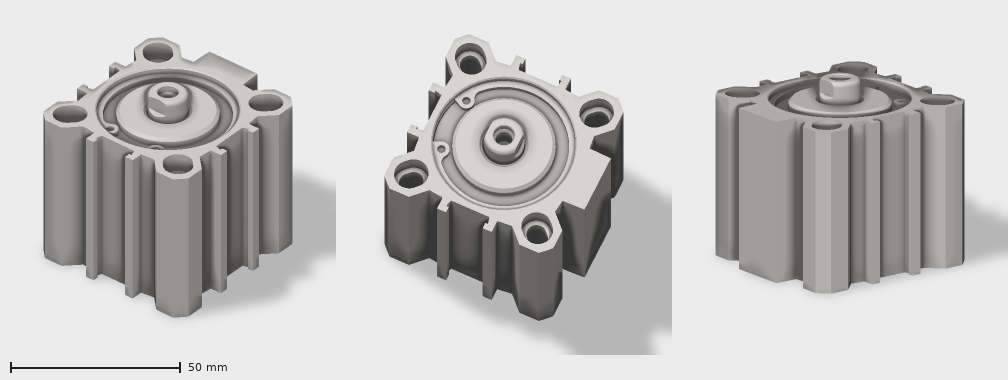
import cadquery as cq
import math


height = 49.5
half_width = 27.5
corner_outer_offset = 24.25
corner_inner_offset = 18.0
wall_reach_at_corner = 22.95
wall_reach_at_rib = 23.45
corner_root_offset = corner_inner_offset - (half_width - wall_reach_at_corner)

rib_reach = 27.3
rib_outer_offset = 8.9
rib_inner_offset = 6.0
lip_reach = 25.4
lip_undercut_offset = 6.8
slot_floor_reach = 23.25
slot_floor_offset = 6.2

port_reach = 30.5
port_tip_offset = 9.1
port_root_offset = 9.35

mount_offset = 20.5
mount_stretch = 1.4
mount_diameter = 6.0
counterbore_diameter = 8.9
counterbore_depth = 6.0

bore_diameter = 40.0
bore_floor = 5.0
seat_diameter = 42.2
bore_chamfer = 0.4
groove_diameter = 44.7

ring_thickness = 1.75
ring_depth = 2.2
ring_inner_diameter = 38.4
ring_bottom = height - ring_depth - ring_thickness
ear_x = 8.6
ear_y = 16.3
ear_radius = 2.45
ear_hole_diameter = 2.5
ear_blend_radius = 2.65

cover_diameter = 41.7
flange_thickness = 6.95
flange_bottom = ring_bottom - flange_thickness
boss_diameter = 30.5
boss_top = height - 0.5
boss_chamfer = 1.0
boss_fillet = 0.7
entry_diameter = 14.6
entry_floor_diameter = 13.7
entry_depth = 0.45
guide_chamfer = 0.3
guide_diameter = 12.5

rod_diameter = 12.0
rod_top = 55.5
rod_fillet = 1.4
flat_width = 10.0
flat_length = 4.6
thread_diameter = 6.25
thread_depth = 2.4
thread_chamfer = 0.25
thread_ledge_diameter = 5.85
thread_cone_height = 0.75
drill_diameter = 4.95
drill_depth = 10.0
drill_point_angle = 118.0

cutter_margin = 0.6


def cylinder(diameter, bottom, top):
    return cq.Workplane("XY").workplane(offset=bottom).circle(diameter / 2).extrude(top - bottom)


def symmetric_side(half_points):
    """Extend (offset, reach) points from a corner toward the middle to the whole side."""
    return half_points + [(-offset, reach) for offset, reach in reversed(half_points)]


def housing_outline():
    corner = [
        (corner_outer_offset, half_width),
        (corner_inner_offset, half_width),
        (corner_root_offset, wall_reach_at_corner),
    ]
    ribbed_side = symmetric_side(corner + [
        (rib_outer_offset, wall_reach_at_rib),
        (rib_outer_offset, rib_reach),
        (rib_inner_offset, rib_reach),
        (rib_inner_offset, lip_reach),
        (lip_undercut_offset, lip_reach),
        (slot_floor_offset, slot_floor_reach),
    ])
    port_side = symmetric_side(corner + [
        (port_root_offset, wall_reach_at_rib),
        (port_tip_offset, port_reach),
    ])
    sides = [
        port_side,
        [(-reach, offset) for offset, reach in ribbed_side],
        [(-offset, -reach) for offset, reach in ribbed_side],
        [(reach, -offset) for offset, reach in ribbed_side],
    ]
    corner_reach = math.hypot(half_width, corner_outer_offset) / math.sqrt(2)
    corner_middles = [
        (-corner_reach, corner_reach),
        (-corner_reach, -corner_reach),
        (corner_reach, -corner_reach),
        (corner_reach, corner_reach),
    ]
    outline = cq.Workplane("XY").moveTo(*port_side[0])
    for index, side in enumerate(sides):
        next_side = sides[(index + 1) % len(sides)]
        for point in side[1:]:
            outline = outline.lineTo(*point)
        outline = outline.threePointArc(corner_middles[index], next_side[0])
    return outline.close()


def mounting_hole(x_sign, y_sign):
    """Counterbored slot cutter whose long axis points at the bore."""
    angle = 45 * x_sign * y_sign
    centre = (x_sign * mount_offset, y_sign * mount_offset)
    through = (
        cq.Workplane("XY").center(*centre)
        .slot2D(mount_diameter + mount_stretch, mount_diameter, angle)
        .extrude(height)
    )
    counterbore = (
        cq.Workplane("XY").workplane(offset=height - counterbore_depth).center(*centre)
        .slot2D(counterbore_diameter + mount_stretch, counterbore_diameter, angle)
        .extrude(counterbore_depth)
    )
    return through.union(counterbore)


def make_housing():
    body = housing_outline().extrude(height)
    body = body.cut(cylinder(bore_diameter, bore_floor, height))
    body = body.cut(cylinder(seat_diameter, flange_bottom, height))
    bore_edge = cq.selectors.RadiusNthSelector(0)
    body = body.faces(">Z").edges(bore_edge).chamfer(bore_chamfer)
    body = body.cut(cylinder(groove_diameter, ring_bottom, ring_bottom + ring_thickness))
    for x_sign in (-1, 1):
        for y_sign in (-1, 1):
            body = body.cut(mounting_hole(x_sign, y_sign))
    return body


def rod_passage():
    """Revolved cutter: conical entry, flat ledge, chamfered guide bore."""
    guide_radius = guide_diameter / 2
    ledge_height = boss_top - entry_depth
    return (
        cq.Workplane("XZ")
        .polyline([
            (0, boss_top),
            (entry_diameter / 2, boss_top),
            (entry_floor_diameter / 2, ledge_height),
            (guide_radius + guide_chamfer, ledge_height),
            (guide_radius, ledge_height - guide_chamfer),
            (guide_radius, flange_bottom),
            (0, flange_bottom),
        ]).close()
        .revolve(360, (0, 0), (0, 1))
    )


def make_cover():
    flange = cylinder(cover_diameter, flange_bottom, ring_bottom)
    boss = cylinder(boss_diameter, ring_bottom, boss_top).faces(">Z").chamfer(boss_chamfer)
    cover = flange.union(boss)
    flange_face = cq.selectors.NearestToPointSelector((0, 0, ring_bottom))
    boss_root = cq.selectors.RadiusNthSelector(0)
    cover = cover.faces(flange_face).edges(boss_root).fillet(boss_fillet)
    return cover.cut(rod_passage())


def make_retaining_ring():
    ring_top = ring_bottom + ring_thickness
    ring = cylinder(groove_diameter, ring_bottom, ring_top)
    ring = ring.cut(cylinder(ring_inner_diameter, ring_bottom, ring_top))

    ear_angle = math.atan2(ear_x, ear_y)
    gap_apex = ear_radius / math.sin(ear_angle)
    gap_reach = groove_diameter
    gap_half_width = (gap_reach - gap_apex) * math.tan(ear_angle)
    gap = (
        cq.Workplane("XY").workplane(offset=ring_bottom)
        .polyline([(0, -gap_apex), (-gap_half_width, -gap_reach), (gap_half_width, -gap_reach)]).close()
        .extrude(ring_thickness)
    )
    ring = ring.cut(gap)

    for side in (-1, 1):
        ear = cylinder(2 * ear_radius, ring_bottom, ring_top).translate((side * ear_x, -ear_y, 0))
        ring = ring.union(ear)
    for side in (-1, 1):
        corner = (side * (ear_x + ear_radius), -ear_y, ring_bottom + ring_thickness / 2)
        ring = ring.edges("|Z").edges(cq.selectors.NearestToPointSelector(corner)).fillet(ear_blend_radius)
    for side in (-1, 1):
        hole = cylinder(ear_hole_diameter, ring_bottom, ring_top).translate((side * ear_x, -ear_y, 0))
        ring = ring.cut(hole)
    return ring


def wrench_flat(side):
    """Cutter for one flat that runs out to the rod surface at 45 degrees."""
    inner = flat_width / 2
    outer = rod_diameter / 2 + cutter_margin
    flat_bottom = rod_top - flat_length
    return (
        cq.Workplane("YZ").workplane(offset=-rod_diameter / 2)
        .polyline([
            (side * inner, rod_top),
            (side * inner, flat_bottom),
            (side * outer, flat_bottom - (outer - inner)),
            (side * outer, rod_top),
        ]).close()
        .extrude(rod_diameter)
    )


def threaded_hole():
    """Revolved cutter: chamfered thread bore, ledge, cone down to the drill, drill point."""
    thread_radius = thread_diameter / 2
    drill_radius = drill_diameter / 2
    point_height = drill_radius / math.tan(math.radians(drill_point_angle / 2))
    return (
        cq.Workplane("XZ")
        .polyline([
            (0, rod_top),
            (thread_radius + thread_chamfer, rod_top),
            (thread_radius, rod_top - thread_chamfer),
            (thread_radius, rod_top - thread_depth),
            (thread_ledge_diameter / 2, rod_top - thread_depth),
            (drill_radius, rod_top - thread_depth - thread_cone_height),
            (drill_radius, rod_top - drill_depth),
            (0, rod_top - drill_depth - point_height),
        ]).close()
        .revolve(360, (0, 0), (0, 1))
    )


def make_rod():
    rod = cylinder(rod_diameter, bore_floor, rod_top).faces(">Z").edges().fillet(rod_fillet)
    for side in (-1, 1):
        rod = rod.cut(wrench_flat(side))
    return rod.cut(threaded_hole())


housing = make_housing()
cover = make_cover()
retaining_ring = make_retaining_ring()
rod = make_rod()

result = cq.Compound.makeCompound([housing.val(), cover.val(), retaining_ring.val(), rod.val()])